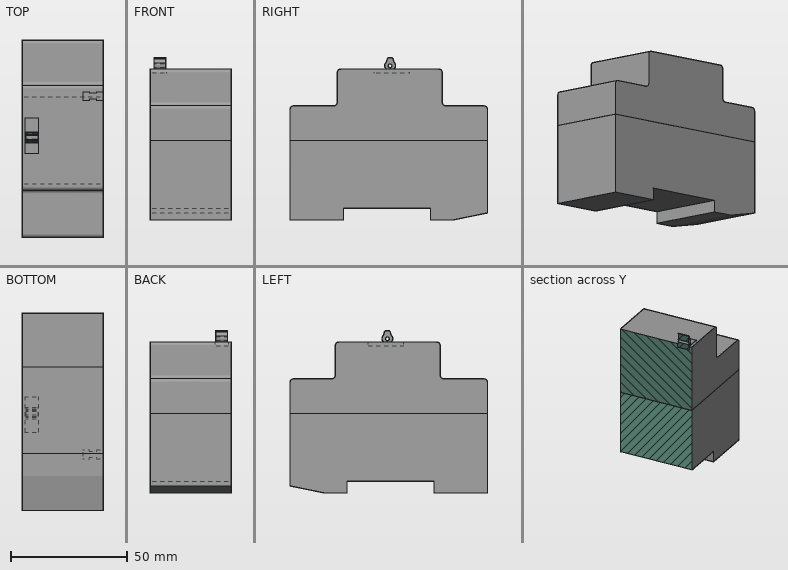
import cadquery as cq

WIDTH = 35.0
LENGTH = 85.0
TOTAL_HEIGHT = 69.95
SEAM_Z = 34.25
SHOULDER_Z = 49.2
TOWER_TOP_Z = 65.0
TOWER_BACK_Y = 23.0
TOWER_FRONT_Y = -22.2
EDGE_RADIUS = 1.5

RAIL_BACK_Y = 17.9
RAIL_FRONT_Y = -19.4
RAIL_DEPTH = 5.1
BEVEL_START_Y = 27.6
BEVEL_HEIGHT = 3.1

PLATE_LEFT_X = 1.4
PLATE_WIDTH = 5.7
PLATE_LENGTH = 15.3
PLATE_CENTER_Y = 1.3
PLATE_THICKNESS = 1.7

KNOB_WIDTH = 5.1
KNOB_CENTER_Y = 0.6
KNOB_HEIGHT = TOTAL_HEIGHT - TOWER_TOP_Z
KNOB_FOOT = 1.6
KNOB_LOBE = 2.4
KNOB_NECK = 1.9
KNOB_WAIST = 1.5
KNOB_HEAD = 1.4
KNOB_CREST = 0.85
LOBE_Z = 1.4
NECK_Z = 2.6
WAIST_Z = 3.5
HEAD_Z = 4.25
PIN_HOLE_DIAMETER = 1.5

MARK_LEFT_X = 26.2
MARK_LENGTH = 8.7
MARK_WIDTH = 3.7
MARK_WAIST_LENGTH = 2.9
MARK_WAIST_WIDTH = 2.55
MARK_CENTER_Y = 18.4
MARK_DEPTH = 0.1

HALF_LENGTH = LENGTH / 2
PLATE_CENTER_X = PLATE_LEFT_X + PLATE_WIDTH / 2


def switch_plate():
    """Flat plate whose top is flush with the top of the cover."""
    return cq.Workplane("XY").box(
        PLATE_WIDTH, PLATE_LENGTH, PLATE_THICKNESS, centered=(True, True, False)
    ).translate((PLATE_CENTER_X, PLATE_CENTER_Y, TOWER_TOP_Z - PLATE_THICKNESS))


def make_base():
    """Lower housing with the rail slot and the bevelled back foot."""
    return (
        cq.Workplane("YZ")
        .moveTo(-HALF_LENGTH, SEAM_Z)
        .lineTo(-HALF_LENGTH, 0)
        .lineTo(RAIL_FRONT_Y, 0)
        .lineTo(RAIL_FRONT_Y, RAIL_DEPTH)
        .lineTo(RAIL_BACK_Y, RAIL_DEPTH)
        .lineTo(RAIL_BACK_Y, 0)
        .lineTo(BEVEL_START_Y, 0)
        .lineTo(HALF_LENGTH, BEVEL_HEIGHT)
        .lineTo(HALF_LENGTH, SEAM_Z)
        .close()
        .extrude(WIDTH)
    )


def mark_recess():
    """Bar with a narrower middle, used to sink the mark into the cover."""
    bar = cq.Workplane("XY").box(MARK_LENGTH, MARK_WIDTH, MARK_DEPTH, centered=(True, True, False))
    waist = cq.Workplane("XY").box(
        MARK_WAIST_LENGTH, MARK_WIDTH, MARK_DEPTH, centered=(True, True, False)
    )
    neck = cq.Workplane("XY").box(
        MARK_WAIST_LENGTH, MARK_WAIST_WIDTH, MARK_DEPTH, centered=(True, True, False)
    )
    center_x = MARK_LEFT_X + MARK_LENGTH / 2
    return bar.cut(waist).union(neck).translate(
        (center_x, MARK_CENTER_Y, TOWER_TOP_Z - MARK_DEPTH)
    )


def make_cover():
    """Stepped upper housing with rounded steps and a seat for the switch."""
    stepped = (
        cq.Workplane("YZ")
        .moveTo(-HALF_LENGTH, SEAM_Z)
        .lineTo(HALF_LENGTH, SEAM_Z)
        .lineTo(HALF_LENGTH, SHOULDER_Z)
        .lineTo(TOWER_BACK_Y, SHOULDER_Z)
        .lineTo(TOWER_BACK_Y, TOWER_TOP_Z)
        .lineTo(TOWER_FRONT_Y, TOWER_TOP_Z)
        .lineTo(TOWER_FRONT_Y, SHOULDER_Z)
        .lineTo(-HALF_LENGTH, SHOULDER_Z)
        .close()
        .extrude(WIDTH)
    )
    above_seam = (SHOULDER_Z - SEAM_Z) / 2
    step_edges = cq.selectors.BoxSelector(
        (0, -LENGTH, SEAM_Z + above_seam), (WIDTH, LENGTH, TOTAL_HEIGHT)
    )
    rounded = stepped.edges("|X").edges(step_edges).fillet(EDGE_RADIUS)
    return rounded.cut(switch_plate()).cut(mark_recess())


def make_switch():
    """Flush plate with a waisted knob, pierced along X for a pin."""
    knob = (
        cq.Workplane("YZ")
        .moveTo(-KNOB_FOOT, 0)
        .lineTo(KNOB_FOOT, 0)
        .threePointArc((KNOB_LOBE, LOBE_Z), (KNOB_NECK, NECK_Z))
        .threePointArc((KNOB_WAIST, WAIST_Z), (KNOB_HEAD, HEAD_Z))
        .lineTo(KNOB_CREST, KNOB_HEIGHT)
        .lineTo(-KNOB_CREST, KNOB_HEIGHT)
        .lineTo(-KNOB_HEAD, HEAD_Z)
        .threePointArc((-KNOB_WAIST, WAIST_Z), (-KNOB_NECK, NECK_Z))
        .threePointArc((-KNOB_LOBE, LOBE_Z), (-KNOB_FOOT, 0))
        .close()
        .extrude(KNOB_WIDTH)
    )
    pin_hole = (
        cq.Workplane("YZ").center(0, LOBE_Z).circle(PIN_HOLE_DIAMETER / 2).extrude(KNOB_WIDTH)
    )
    knob_left_x = PLATE_CENTER_X - KNOB_WIDTH / 2
    placed_knob = knob.cut(pin_hole).translate((knob_left_x, KNOB_CENTER_Y, TOWER_TOP_Z))
    return switch_plate().union(placed_knob)


base = make_base()
cover = make_cover()
switch = make_switch()

result = cq.Compound.makeCompound([*base.solids().vals(), *cover.solids().vals(), *switch.solids().vals()])